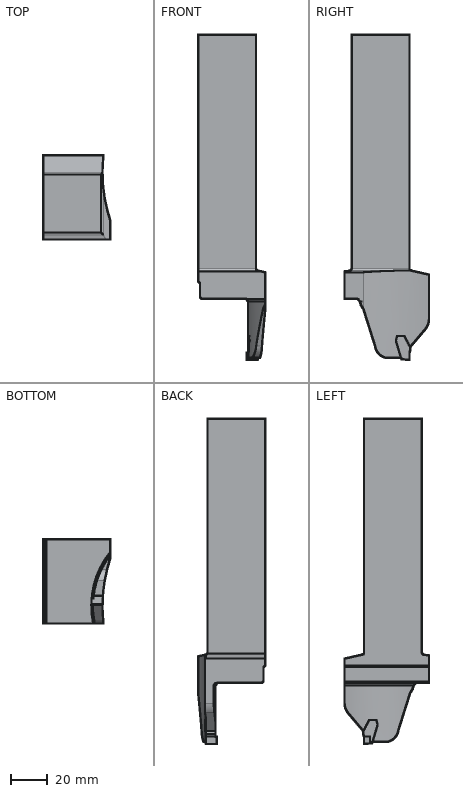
import cadquery as cq
import math

width = 36.8
depth = 46.2
height = 177.8

shank_size = 31.6
shank_front = 4.0
shank_back = shank_front + shank_size

head_bottom = 33.5
shelf_z = 48.9
side_edge_z = 48.0
front_edge_z = 48.5
back_edge_z = 46.8
root_radius = 1.2
back_root_run = 1.2
back_root_rise = 0.5
step_z = 42.8
step_depth = 1.0
step_rise = 0.7
bottom_chamfer = 0.9

arc_center_y = 36.5
outer_face_x = 32.5
outer_radius = 81.8
inner_face_x = 27.2
inner_radius = 45.3
blade_root_height = 1.5
blade_root_flare = 0.9

back_corner_z = 22.2
seat_y = 36.0
seat_z = 7.1
blade_bottom = 1.2
seat_floor_y = 30.8
back_corner_mid = (45.7, 19.5)
back_corner_end = (44.6, 17.5)
nose_start_y = 22.5
nose_mid = (19.0, 3.2)
nose_end = (16.7, 7.6)
flank_top = (10.3, 28.0)
flare_start = (8.9, 30.2)
flare_mid = (8.2, 32.0)
flare_end_y = 6.4

tip_x = 26.5
tip_inner_y = 32.4
tip_back_y = 35.5
tip_height = 4.1
heel_y = 36.1
heel_z = 5.7
insert_top = 13.2
top_back_y = 32.7
top_front_y = 28.8
insert_shoulder = (28.1, 10.7)
insert_toe = (31.1, 0.5)


def cylinder(radius, face_x):
    """Vertical cylinder whose leftmost line lies at face_x."""
    return cq.Workplane("XY").center(face_x + radius, arc_center_y).circle(radius).extrude(height)


def side_prism(outline):
    """Extrude a closed YZ outline across the full width."""
    return outline.close().extrude(width)


def make_shank_and_head():
    """Intersect the XZ and YZ silhouettes, then scoop the right side to the blade's outer arc."""
    diagonal = root_radius * (1 - math.sqrt(0.5))
    front_root = shank_front - root_radius
    right_root = shank_size + root_radius
    xz_body = (
        cq.Workplane("XZ")
        .moveTo(0, height)
        .lineTo(shank_size, height)
        .lineTo(shank_size, shelf_z + root_radius)
        .threePointArc((shank_size + diagonal, shelf_z + diagonal), (right_root, shelf_z))
        .lineTo(width, side_edge_z)
        .lineTo(width, head_bottom)
        .lineTo(step_depth + bottom_chamfer, head_bottom)
        .lineTo(step_depth, head_bottom + bottom_chamfer)
        .lineTo(step_depth, step_z - step_rise)
        .lineTo(0, step_z)
        .close()
        .extrude(-depth)
    )
    yz_body = side_prism(
        cq.Workplane("YZ")
        .moveTo(shank_front, height)
        .lineTo(shank_front, shelf_z + root_radius)
        .threePointArc((shank_front - diagonal, shelf_z + diagonal), (front_root, shelf_z))
        .lineTo(0, front_edge_z)
        .lineTo(0, head_bottom)
        .lineTo(depth, head_bottom)
        .lineTo(depth, back_edge_z)
        .lineTo(shank_back + back_root_run, shelf_z)
        .lineTo(shank_back, shelf_z + back_root_rise)
        .lineTo(shank_back, height)
    )
    return xz_body.intersect(yz_body).cut(cylinder(outer_radius, outer_face_x))


def make_blade():
    """Curved support blade hanging below the head."""
    outline = side_prism(
        cq.Workplane("YZ")
        .moveTo(depth, head_bottom)
        .lineTo(depth, back_corner_z)
        .threePointArc(back_corner_mid, back_corner_end)
        .lineTo(seat_y, seat_z)
        .lineTo(seat_floor_y, blade_bottom)
        .lineTo(nose_start_y, blade_bottom)
        .threePointArc(nose_mid, nose_end)
        .lineTo(*flank_top)
        .lineTo(*flare_start)
        .threePointArc(flare_mid, (flare_end_y, head_bottom))
    )
    root = make_blade_root()
    blade = outline.intersect(cylinder(inner_radius, inner_face_x).union(root))
    return blade.cut(cylinder(outer_radius, outer_face_x))


def make_blade_root():
    """Flare of the inner face where the blade joins the head."""
    wide_radius = inner_radius + blade_root_flare
    return (
        cq.Workplane("XY", origin=(inner_face_x + inner_radius, arc_center_y, head_bottom))
        .circle(wide_radius)
        .workplane(offset=-blade_root_height)
        .circle(inner_radius)
        .loft()
    )


def make_insert_stock():
    """Through-thickness prism of the insert, also used to cut its seat."""
    return side_prism(
        cq.Workplane("YZ")
        .moveTo(tip_back_y, 0)
        .lineTo(tip_back_y, tip_height)
        .lineTo(heel_y, heel_z)
        .lineTo(seat_y, seat_z)
        .lineTo(top_back_y, insert_top)
        .lineTo(top_front_y, insert_top)
        .lineTo(*insert_shoulder)
        .lineTo(*insert_toe)
    )


def make_insert(stock):
    """Insert flush with both blade faces, with a cutting tip proud of the inner face."""
    body = stock.intersect(cylinder(inner_radius, inner_face_x))
    tip = stock.intersect(
        cq.Workplane("XY")
        .box(width - tip_x, tip_back_y - tip_inner_y, tip_height, centered=False)
        .translate((tip_x, tip_inner_y, 0))
    )
    return body.union(tip).cut(cylinder(outer_radius, outer_face_x))


insert_stock = make_insert_stock()
holder = make_shank_and_head().union(make_blade()).cut(insert_stock)
insert = make_insert(insert_stock)

result = cq.Compound.makeCompound([holder.val(), insert.val()])